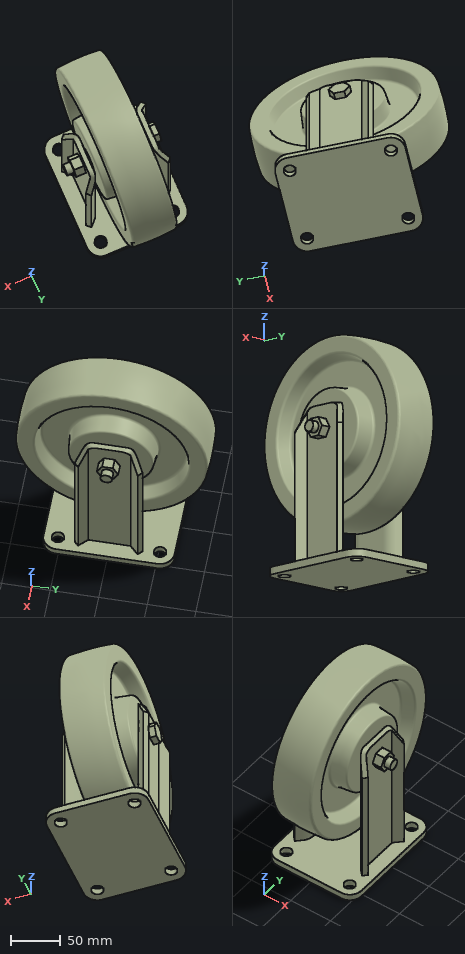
import cadquery as cq
import math

plate_x = 110.0
plate_y = 135.0
plate_thick = 8.0
plate_corner_radius = 15.0
mount_hole_diameter = 12.5
mount_hole_pitch_x = 79.9
mount_hole_pitch_y = 105.0

axle_z = 145.0
leg_top_z = 170.0
leg_inner_x = 31.8
sheet_thick = 6.1
web_half_y = 21.8
flange_angle = math.radians(45)
flange_length = 12.5
bend_radius = 16.7
leg_corner_drop = 4.2
leg_corner_radius = 7.8

axle_diameter = 12.0
axle_end_x = 56.4
hex_across_corners = 22.0
head_height = 7.0
head_gap = 0.7
nut_height = 10.8
washer_diameter = 35.0
washer_thick = 1.0

wheel_radius = 100.0
tread_edge_radius = 98.7
rim_half_width = 25.0
hub_half_width = 29.6
web_half_width = 9.0
rim_radius_at_face = 79.6
rim_radius_at_web = 75.5
hub_radius_at_web = 45.8
hub_radius_at_face = 43.5
rim_fillet = 3.0
hub_face_fillet = 2.2
spacer_diameter = 25.0

leg_outer_x = leg_inner_x + sheet_thick
washer_inner_x = leg_inner_x - washer_thick


def cylinder_x(diameter, x_start, x_end):
    """Cylinder on the axle line between two X positions."""
    return (
        cq.Workplane("YZ", origin=(x_start, 0, axle_z))
        .circle(diameter / 2)
        .extrude(x_end - x_start)
    )


def hexagon_x(x_start, height):
    """Hexagonal prism on the axle line, two corners pointing along Y."""
    return (
        cq.Workplane("YZ", origin=(x_start, 0, axle_z))
        .polygon(6, hex_across_corners)
        .extrude(height)
    )


def make_plate():
    return (
        cq.Workplane("XY")
        .rect(plate_x, plate_y)
        .extrude(plate_thick)
        .edges("|Z")
        .fillet(plate_corner_radius)
        .faces(">Z")
        .workplane()
        .rect(mount_hole_pitch_x, mount_hole_pitch_y, forConstruction=True)
        .vertices()
        .hole(mount_hole_diameter)
    )


def flange_top_cut():
    """Tool that slopes and rounds the top of the +Y flange of the +X leg.

    It is drawn square to the flange: local x runs along the flange from the bend,
    local y runs upward from the top of the leg.
    """
    flange_plane = cq.Plane(
        origin=(leg_outer_x, web_half_y, leg_top_z),
        xDir=(math.sin(flange_angle), math.cos(flange_angle), 0),
        normal=(math.cos(flange_angle), -math.sin(flange_angle), 0),
    )
    slope_drop = leg_top_z - axle_z - leg_corner_drop
    slope_angle = math.atan2(slope_drop, flange_length)
    half_angle = slope_angle / 2
    tangent_length = leg_corner_radius * math.tan(half_angle)
    slope_top_x = -leg_corner_drop / math.tan(slope_angle)
    round_end_x = slope_top_x + tangent_length * math.cos(slope_angle)
    round_end_y = -tangent_length * math.sin(slope_angle)
    round_start_x = slope_top_x - tangent_length
    round_mid_x = round_start_x + leg_corner_radius * math.sin(half_angle)
    round_mid_y = -leg_corner_radius * (1 - math.cos(half_angle))
    margin = 2 * sheet_thick
    return (
        cq.Workplane(flange_plane)
        .moveTo(round_start_x, 0)
        .threePointArc((round_mid_x, round_mid_y), (round_end_x, round_end_y))
        .lineTo(flange_length, -leg_corner_drop - slope_drop)
        .lineTo(flange_length + margin, -leg_corner_drop - slope_drop)
        .lineTo(flange_length + margin, margin)
        .lineTo(round_start_x, margin)
        .close()
        .extrude(margin, both=True)
    )


def make_leg():
    """The +X leg."""
    tip_outer_x = leg_outer_x + flange_length * math.sin(flange_angle)
    tip_outer_y = web_half_y + flange_length * math.cos(flange_angle)
    tip_inner_x = tip_outer_x - sheet_thick * math.cos(flange_angle)
    tip_inner_y = tip_outer_y + sheet_thick * math.sin(flange_angle)
    bend_y = web_half_y + sheet_thick * math.tan(flange_angle / 2)
    half_outline = [
        (leg_inner_x, bend_y),
        (tip_inner_x, tip_inner_y),
        (tip_outer_x, tip_outer_y),
        (leg_outer_x, web_half_y),
    ]
    mirrored_outline = [(x, -y) for x, y in reversed(half_outline)]
    leg = (
        cq.Workplane("XY", origin=(0, 0, plate_thick))
        .polyline(half_outline + mirrored_outline)
        .close()
        .extrude(leg_top_z - plate_thick)
    )
    for side in (1, -1):
        bend_edge = cq.NearestToPointSelector((leg_inner_x, side * bend_y, leg_top_z / 2))
        leg = leg.edges("|Z").edges(bend_edge).fillet(bend_radius)
    top_cut = flange_top_cut()
    return leg.cut(top_cut).cut(top_cut.mirror("XZ"))


def make_bracket():
    """Plate, both legs and the axle bolt as one body."""
    leg = make_leg()
    bracket = make_plate().union(leg).union(leg.mirror("YZ"))
    bracket = bracket.union(cylinder_x(axle_diameter, -leg_outer_x - head_gap, axle_end_x))
    bracket = bracket.union(hexagon_x(-leg_outer_x - head_gap - head_height, head_height))
    bracket = bracket.union(hexagon_x(leg_outer_x, nut_height))
    bracket = bracket.union(cylinder_x(washer_diameter, washer_inner_x, leg_inner_x))
    return bracket.union(cylinder_x(washer_diameter, -leg_inner_x, -washer_inner_x))


def make_wheel():
    """Crowned wheel with a recessed web, turned about the axle."""
    half_profile = [
        (rim_half_width, rim_radius_at_face),
        (web_half_width, rim_radius_at_web),
        (web_half_width, hub_radius_at_web),
        (hub_half_width, hub_radius_at_face),
        (hub_half_width, 0),
    ]
    mirrored_profile = [(-x, radius) for x, radius in reversed(half_profile)]
    wheel = (
        cq.Workplane("XY")
        .moveTo(-rim_half_width, tread_edge_radius)
        .threePointArc((0, wheel_radius), (rim_half_width, tread_edge_radius))
        .polyline(half_profile + mirrored_profile, includeCurrent=True)
        .close()
        .revolve(360, (0, 0, 0), (1, 0, 0))
        .edges("not(>X or <X)")
        .fillet(rim_fillet)
        .faces(">X or <X")
        .edges()
        .fillet(hub_face_fillet)
        .translate((0, 0, axle_z))
    )
    spacer = cylinder_x(spacer_diameter, -washer_inner_x, washer_inner_x)
    axle_bore = cylinder_x(axle_diameter, -leg_inner_x, leg_inner_x)
    return wheel.union(spacer).cut(axle_bore)


bracket = make_bracket()
wheel = make_wheel()

result = cq.Compound.makeCompound([bracket.val(), wheel.val()])